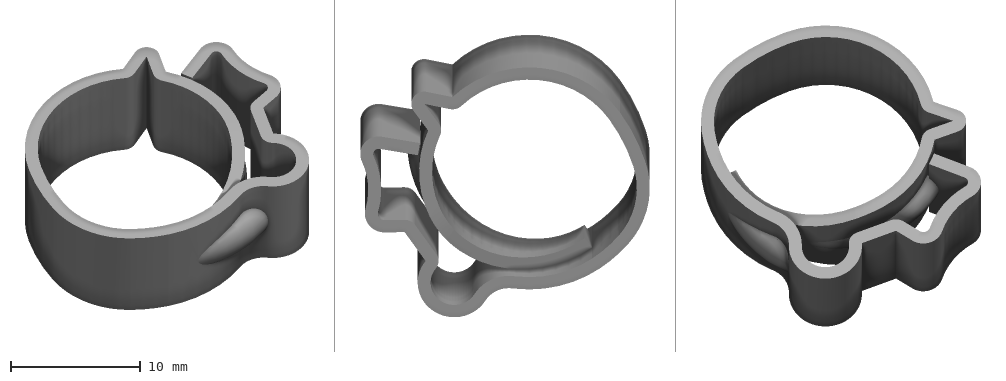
import cadquery as cq
import math


strip_width = 8.0
strip_thickness = 1.0
half_thickness = strip_thickness / 2
sharp_bend = half_thickness

ring_bore_radius = 7.5
ring_radius = ring_bore_radius + half_thickness
ring_bottom = (0, -ring_radius)

overlap_radius = 9.05

tongue_tip_width = 2.9
taper_direction = -21.0
taper_blend_start = -4.28
taper_start = -2.1
taper_end = 7.9
taper_overrun = 2.0

lug_section_radius = 2.0
latch_centre = (-0.81, -0.68)
latch_outside_radius = 9.52
latch_start_angle = 127.5
latch_end_angle = 55.0
pocket_centre = (-0.65, 2.25)
pocket_outside_radius = 9.87
pocket_start_angle = 31.5
pocket_end_angle = -10.0
pocket_lead_angle = 37.0
pocket_lead_length = 1.7
pocket_lead_depth = 1.5

hook_side = [
    ("bend", 14.5, 17.4),
    ("bend", 6.5, 57.6),
    ("bend", 10.9, 15.0),
    ("bend", overlap_radius, 41.5),
    ("run", 0.18),
    ("bend", 2.62, -65.4),
    ("bend", 2.32, 187.0),
    ("bend", sharp_bend, -73.1),
    ("run", 2.85),
    ("bend", sharp_bend, -56.3),
    ("run", 1.52),
    ("bend", 1.02, 106.5),
    ("bend", 6.21, -39.6),
    ("bend", 0.93, 124.0),
    ("run", 2.99),
]
tongue_side = [
    ("bend", ring_radius, -99.6),
    ("bend", sharp_bend, 56.3),
    ("run", 2.006),
    ("bend", sharp_bend, -137.2),
    ("run", 1.938),
    ("bend", sharp_bend, 58.5),
    ("bend", ring_radius, -148.0),
]


def polar(centre, radius, angle):
    """Point at a radius and an angle in degrees about a centre."""
    turn = math.radians(angle)
    return (centre[0] + radius * math.cos(turn), centre[1] + radius * math.sin(turn))


def extrude_strip(outline):
    return outline.close().extrude(strip_width / 2, both=True)


def straight_piece(start, heading, length):
    """Flat length of strip, and the point where it ends."""
    end = polar(start, length, heading)
    left = heading + 90
    outline = (
        cq.Workplane("XY")
        .moveTo(*polar(start, half_thickness, left))
        .lineTo(*polar(end, half_thickness, left))
        .lineTo(*polar(end, -half_thickness, left))
        .lineTo(*polar(start, -half_thickness, left))
    )
    return extrude_strip(outline), end


def bent_piece(start, heading, radius, angle):
    """Strip bent about a centre on its left (angle > 0) or right, and the point where it ends."""
    side = math.copysign(90, angle)
    centre = polar(start, radius, heading + side)
    first = heading - side
    middle = first + angle / 2
    last = first + angle
    outer = radius + half_thickness
    inner = radius - half_thickness
    outline = (
        cq.Workplane("XY")
        .moveTo(*polar(centre, outer, first))
        .threePointArc(polar(centre, outer, middle), polar(centre, outer, last))
        .lineTo(*polar(centre, inner, last))
    )
    if inner > 0:
        outline = outline.threePointArc(polar(centre, inner, middle), polar(centre, inner, first))
    return extrude_strip(outline), polar(centre, radius, last)


def bent_strip(start, heading, path):
    """Strip that follows a path of runs and bends."""
    pieces = []
    for kind, *sizes in path:
        if kind == "run":
            piece, start = straight_piece(start, heading, *sizes)
        else:
            piece, start = bent_piece(start, heading, *sizes)
            heading += sizes[1]
        pieces.append(piece)
    strip = pieces[0]
    for piece in pieces[1:]:
        strip = strip.union(piece)
    return strip


def tongue_trim():
    """Material removed above and below the tongue to taper it towards its tip."""
    full = strip_width / 2
    tip = tongue_tip_width / 2
    taper_origin = (taper_blend_start + taper_start) / 2
    slope = (full - tip) / (taper_end - taper_origin)
    blend_end = full - slope * (taper_start - taper_origin)
    last = taper_end + taper_overrun
    last_height = full - slope * (last - taper_origin)
    plane = cq.Plane(
        origin=(0, 0, 0),
        xDir=(*polar((0, 0), 1, taper_direction), 0),
        normal=(*polar((0, 0), 1, taper_direction - 90), 0),
    )
    upper = (
        cq.Workplane(plane)
        .moveTo(taper_blend_start, full)
        .spline([(taper_start, blend_end)], tangents=[(1, 0), (1, -slope)], includeCurrent=True)
        .lineTo(last, last_height)
        .lineTo(last, full)
        .close()
        .extrude(-2 * ring_radius)
    )
    return upper.union(upper.mirror("XY"))


def torus_segment(centre, outside_radius, base_radius, start_angle, end_angle):
    """Clockwise torus segment about its own centre, kept outside a cylinder about the clamp axis."""
    section_centre = polar(centre, outside_radius - lug_section_radius, start_angle)
    plane = cq.Plane(
        origin=(*section_centre, 0),
        xDir=(*polar((0, 0), 1, start_angle), 0),
        normal=(*polar((0, 0), 1, start_angle - 90), 0),
    )
    axis_offset = lug_section_radius - outside_radius
    segment = (
        cq.Workplane(plane)
        .circle(lug_section_radius)
        .revolve(start_angle - end_angle, (axis_offset, 0), (axis_offset, -1))
    )
    core = cq.Workplane("XY").circle(base_radius).extrude(strip_width / 2, both=True)
    return segment.cut(core)


def pocket_lug():
    """Lug on the wall outside the tongue: a torus segment with a straight lead into the ear neck."""
    lug = torus_segment(
        pocket_centre, pocket_outside_radius, overlap_radius, pocket_start_angle, pocket_end_angle
    )
    lead_plane = cq.Plane(
        origin=(*polar(pocket_centre, pocket_outside_radius, pocket_start_angle), 0),
        xDir=(*polar((0, 0), 1, pocket_lead_angle), 0),
        normal=(*polar((0, 0), 1, pocket_lead_angle + 90), 0),
    )
    lead = cq.Workplane(lead_plane).center(-lug_section_radius, 0).circle(lug_section_radius)
    lead = lead.extrude(pocket_lead_length)
    envelope = (
        cq.Workplane(lead_plane)
        .center(-pocket_lead_depth / 2, 0)
        .rect(pocket_lead_depth, strip_width)
        .extrude(pocket_lead_length)
    )
    return lug.union(lead.intersect(envelope))


def clamp_strip():
    tongue_half = bent_strip(ring_bottom, 180, tongue_side).cut(tongue_trim())
    hook_half = bent_strip(ring_bottom, 0, hook_side)
    return hook_half.union(tongue_half).union(pocket_lug())


def latch_lug(strip):
    """Separate lug on the tongue, with its high end against the hook bar."""
    lug = torus_segment(
        latch_centre, latch_outside_radius, ring_radius, latch_start_angle, latch_end_angle
    )
    return lug.cut(strip)


clamp = clamp_strip()
latch = latch_lug(clamp)

result = cq.Compound.makeCompound([clamp.val(), latch.val()])